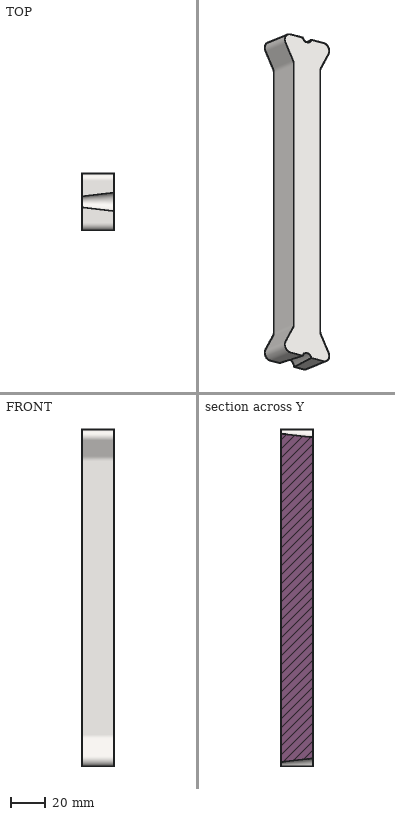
import cadquery as cq
import math

length = 198.0
thickness = 19.0
head_width = 33.5
neck_width = 19.8

flare_angle = math.radians(30)
corner_radius = 4.2
neck_fillet_radius = 5.0

notch_radius_near = 3.4
notch_radius_far = 5.5
notch_axis_offset = 1.0

half_length = length / 2
half_head = head_width / 2
half_neck = neck_width / 2

corner_y = half_head - corner_radius
corner_z = half_length - corner_radius
arc_middle_angle = (math.pi / 2 - flare_angle) / 2
arc_middle = (
    corner_y + corner_radius * math.cos(arc_middle_angle),
    corner_z + corner_radius * math.sin(arc_middle_angle),
)
flare_start = (
    corner_y + corner_radius * math.cos(flare_angle),
    corner_z - corner_radius * math.sin(flare_angle),
)
neck_z = flare_start[1] - (flare_start[0] - half_neck) / math.tan(flare_angle)


def make_bar():
    """Extrude one quarter of the profile, mirror it, and round the neck."""
    quarter = (
        cq.Workplane("YZ")
        .workplane(offset=-thickness / 2)
        .lineTo(half_neck, 0)
        .lineTo(half_neck, neck_z)
        .lineTo(*flare_start)
        .threePointArc(arc_middle, (corner_y, half_length))
        .lineTo(0, half_length)
        .close()
        .extrude(thickness)
    )
    half = quarter.union(quarter.mirror("XZ"))
    bar = half.union(half.mirror("XY")).clean()
    for side in (-1, 1):
        for end in (-1, 1):
            neck_edge = cq.selectors.NearestToPointSelector((0, side * half_neck, end * neck_z))
            bar = bar.edges(neck_edge).fillet(neck_fillet_radius)
    return bar


def make_notch(end):
    """Cone lying along X just beyond the end face, widening toward +X."""
    cone = cq.Solid.makeCone(
        notch_radius_near,
        notch_radius_far,
        thickness,
        pnt=cq.Vector(-thickness / 2, 0, end * (half_length + notch_axis_offset)),
        dir=cq.Vector(1, 0, 0),
    )
    return cq.Workplane(obj=cone)


result = make_bar()
for end in (-1, 1):
    result = result.cut(make_notch(end))